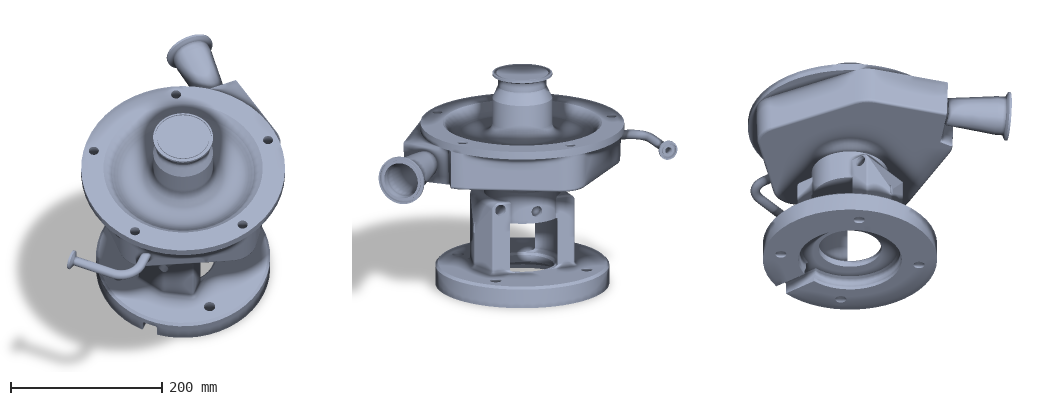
import cadquery as cq
import math

base_top = 29.0
hub_bottom = 97.0
hub_top = 139.0
casing_bottom = 160.5
plate_bottom = 211.5
plate_top = 222.0
inlet_cone_bottom = 256.5
inlet_cone_top = 272.5
inlet_top = 291.0

base_radius = 115.2
base_edge_chamfer = 3.5
base_bore_radius = 41.7
base_bore_chamfer = 3.0
base_bolt_count = 4
base_bolt_first_angle = 45.0
base_bolt_circle = 92.0
base_bolt_radius = 7.5
recess_radius = 66.0
recess_height = 17.8
recess_chamfer = 2.5
recess_cone_height = 8.5
recess_mouth_radius = 68.5
recess_mouth_height = 5.0
notch_width = 20.5
notch_corner = 2.0

hub_radius = 51.0
hub_hole_radius = 7.5
hub_hole_depth = 8.3
hub_hole_z = 112.8
neck_radius = 41.7
neck_flare = 9.0
leg_half_width = 39.2
leg_top = 127.0
leg_shoulder = 58.5
leg_apex = 69.5
leg_bore_radius = 52.0
leg_slope_low = 83.5
leg_slope_run = 12.0
leg_rounding = 3.0
leg_top_rounding = 10.7
apex_rounding = 10.0
foot_fillet = 4.5
drain_hole_diameter = 14.5
drain_hole_z = 84.5
drain_slot_width = 4.0
cross_hole_radius = 7.5
cross_hole_y = 47.5
cross_hole_z = 117.0

casing_sides = 5
casing_pitch = 360 / casing_sides
casing_apothem = 115.0
casing_draft = 1.7
casing_edge_rounding = 3.7
corner_rounding = 34.3
first_corner_angle = 45.0
outlet_facet = first_corner_angle + casing_pitch / 2
block_side_turn = 26.2
block_side_distance = 140.5
block_wall_angle = 72.0
block_wall_distance = 102.0

plate_diameter = 269.7
plate_radius = plate_diameter / 2
plate_bolt_count = casing_sides
plate_bolt_circle = 121.5
plate_bolt_radius = 6.5
plate_bolt_depth = 33.0
dish_depth = 14.5
dish_floor_radius = 83.0
dish_cone_inner = 94.0
dish_cone_outer = 105.5
dish_fillet_rise = 4.0

ferrule_rim = 3.0
ferrule_taper = 3.5
ferrule_height = ferrule_rim + ferrule_taper
groove_inner_part = 0.3
groove_outer_part = 0.7

inlet_radius = 39.5
inlet_neck_radius = 32.2

outlet_angle = 135.0
outlet_z = 186.5
outlet_offset = 91.0
outlet_block_face = 114.5
outlet_face = 199.5
outlet_ferrule_radius = 32.2
outlet_tube_radius = 25.5
outlet_tube_length = 17.5
outlet_small_radius = 18.0
outlet_neck_radius = 16.5
outlet_neck_length = 3.0
outlet_root_depth = 8.3
outlet_bore_radius = 24.0
outlet_bore_depth = 13.2
outlet_bore_middle_radius = 22.5
outlet_bore_middle_depth = 27.3
outlet_bore_root_radius = 15.3

pipe_radius = 6.0
pipe_bore_radius = 4.5
pipe_z = 188.0
pipe_root = 107.5
pipe_bend = 29.0
pipe_run_y = -172.2
pipe_end_x = -89.2
pipe_ferrule_radius = 13.0


def polar(radius, angle):
    """Point at a radius and an angle in degrees."""
    return (radius * math.cos(math.radians(angle)), radius * math.sin(math.radians(angle)))


def cylinder(radius, bottom, top):
    return cq.Workplane("XY").workplane(offset=bottom).circle(radius).extrude(top - bottom)


def revolve_profile(points):
    """Turn an (r, z) outline about the Z axis."""
    return cq.Workplane("XZ").polyline(points).close().revolve(360, (0, 0), (0, 1))


def ferrule(radius, tube_radius):
    """Clamp ferrule facing up with its face at z = 0, with a narrow gasket groove."""
    body = revolve_profile([
        (0, 0), (radius, 0), (radius, -ferrule_rim), (tube_radius, -ferrule_height), (0, -ferrule_height),
    ])
    groove_outer = tube_radius + groove_outer_part * (radius - tube_radius)
    groove_inner = tube_radius + groove_inner_part * (radius - tube_radius)
    groove_depth = ferrule_rim / 2
    groove = cylinder(groove_outer, -groove_depth, 0).cut(cylinder(groove_inner, -groove_depth, 0))
    return body.cut(groove)


def make_base():
    return cylinder(base_radius, 0, base_top).faces(">Z").edges().chamfer(base_edge_chamfer)


def make_base_bolts():
    return (
        cq.Workplane("XY").polarArray(base_bolt_circle, base_bolt_first_angle, 360, base_bolt_count)
        .circle(base_bolt_radius).extrude(base_top)
    )


def make_base_opening():
    opening = revolve_profile([
        (0, 0), (recess_mouth_radius, 0), (recess_mouth_radius, recess_mouth_height),
        (recess_radius, recess_cone_height), (recess_radius, recess_height - recess_chamfer),
        (recess_radius - recess_chamfer, recess_height), (base_bore_radius, recess_height),
        (base_bore_radius, base_top - base_bore_chamfer),
        (base_bore_radius + base_bore_chamfer, base_top), (0, base_top),
    ])
    notch = (
        cq.Workplane("XY").box(notch_width, base_radius, recess_height, centered=(True, False, False))
        .edges("|Y and >Z").chamfer(notch_corner).translate((0, -base_radius, 0))
    )
    return opening.union(notch)


def make_leg():
    """Leg on the +Y side: a peaked plan outline trimmed to its front and side profiles."""
    plan = (
        cq.Workplane("XY").workplane(offset=base_top)
        .moveTo(-leg_half_width, 0).lineTo(leg_half_width, 0)
        .lineTo(leg_half_width, leg_shoulder).lineTo(0, leg_apex)
        .lineTo(-leg_half_width, leg_shoulder).close()
        .extrude(leg_top - base_top)
    )
    plan = plan.edges("|Z and >Y").fillet(apex_rounding)
    for x in (-leg_half_width, leg_half_width):
        shoulder_edge = cq.selectors.NearestToPointSelector((x, leg_shoulder, (base_top + leg_top) / 2))
        plan = plan.edges(shoulder_edge).fillet(leg_rounding)
    front_profile = (
        cq.Workplane("XY").box(2 * leg_half_width, leg_apex, leg_top, centered=(True, False, False))
        .edges("|Y and >Z").fillet(leg_rounding)
    )
    side_profile = (
        cq.Workplane("YZ").moveTo(0, 0).lineTo(leg_apex, 0).lineTo(leg_apex, leg_slope_low)
        .lineTo(leg_apex - leg_slope_run, leg_top).lineTo(0, leg_top).close()
        .extrude(leg_half_width, both=True)
        .faces(">Z").edges(">Y").fillet(leg_top_rounding)
    )
    leg = plan.intersect(front_profile).intersect(side_profile)
    return leg.cut(cylinder(leg_bore_radius, base_top, hub_bottom))


def make_stand():
    """Base flange with both legs blended into it."""
    leg = make_leg()
    stand = make_base().union(leg).union(leg.rotate((0, 0, 0), (0, 0, 1), 180))
    back_foot, front_foot = (
        cq.selectors.BoxSelector(
            (-hub_radius, side * hub_radius / 2, base_top - foot_fillet / 2),
            (hub_radius, side * base_bolt_circle, base_top + foot_fillet / 2),
        )
        for side in (1, -1)
    )
    stand = stand.edges(back_foot + front_foot).fillet(foot_fillet)
    return stand.cut(make_base_bolts())


def make_hub():
    hub = cylinder(hub_radius, hub_bottom, hub_top)
    neck = (
        cq.Workplane("XZ").moveTo(0, hub_top).lineTo(neck_radius, hub_top)
        .lineTo(neck_radius, casing_bottom - neck_flare)
        .radiusArc((neck_radius + neck_flare, casing_bottom), neck_flare)
        .lineTo(0, casing_bottom).close().revolve(360, (0, 0), (0, 1))
    )
    return hub.union(neck)


def line_crossing(first_distance, first_angle, second_distance, second_angle):
    """Crossing of two lines given by their distance from the axis and the angle of their normal."""
    turn = math.radians(second_angle - first_angle)
    along = (second_distance - first_distance * math.cos(turn)) / math.sin(turn)
    x, y = polar(first_distance, first_angle)
    step_x, step_y = polar(along, first_angle + 90)
    return (x + step_x, y + step_y)


def drafted_prism(corners, rounded_corners):
    """Prism hanging from the cover, narrowing downward, with some upright edges rounded."""
    prism = (
        cq.Workplane("XY").workplane(offset=plate_bottom).polyline(corners).close()
        .extrude(casing_bottom - plate_bottom, taper=casing_draft)
    )
    for x, y in rounded_corners:
        middle = (x, y, (plate_bottom + casing_bottom) / 2)
        prism = prism.edges(cq.selectors.NearestToPointSelector(middle)).fillet(corner_rounding)
    return prism


def make_casing():
    """Five-sided casing with rounded corners below the cover."""
    vertex_radius = casing_apothem / math.cos(math.pi / casing_sides)
    corners = [
        polar(vertex_radius, first_corner_angle + casing_pitch * index)
        for index in range(casing_sides)
    ]
    casing = drafted_prism(corners, corners)
    return casing.faces("<Z").edges().fillet(casing_edge_rounding)


def round_bottom(prism, facet):
    """Round the bottom edge of one flat, together with the edges that continue it smoothly."""
    x, y = polar(casing_apothem, facet)
    edge = cq.selectors.NearestToPointSelector((x, y, casing_bottom))
    return prism.faces("<Z").edges(edge).fillet(casing_edge_rounding)


def make_outlet_block():
    """Block that widens the casing toward the outlet, with a stub corner left of the outlet face."""
    right_facet = outlet_facet - casing_pitch
    left_facet = outlet_facet + casing_pitch
    right_side = outlet_facet - block_side_turn
    left_side = outlet_facet + block_side_turn
    wall_foot = line_crossing(outlet_block_face, outlet_angle, block_wall_distance, block_wall_angle)

    right_shoulder = line_crossing(casing_apothem, right_facet, block_side_distance, right_side)
    peak = line_crossing(block_side_distance, right_side, outlet_block_face, outlet_angle)
    right_foot = polar(casing_apothem, right_facet)
    block = drafted_prism([(0, 0), right_foot, right_shoulder, peak, wall_foot], [right_shoulder])
    block = round_bottom(block, right_facet)

    left_tangent = polar(block_side_distance, left_side)
    left_shoulder = line_crossing(block_side_distance, left_side, casing_apothem, left_facet)
    left_foot = polar(casing_apothem, left_facet)
    stub = drafted_prism([(0, 0), left_tangent, left_shoulder, left_foot], [left_shoulder])
    stub = round_bottom(stub, left_facet)
    beyond_wall = (
        cq.Workplane("XY")
        .box(plate_radius, plate_diameter, plate_top, centered=(False, True, False))
        .translate((block_wall_distance, 0, 0))
        .rotate((0, 0, 0), (0, 0, 1), block_wall_angle)
    )
    return block.union(stub.cut(beyond_wall))


def make_cover():
    return cylinder(plate_radius, plate_bottom, plate_top)


def make_dish():
    """Ring-shaped hollow around the inlet, with a flare at the inlet and a conical rim."""
    floor = plate_top - dish_depth
    cone_bottom = floor + dish_fillet_rise
    run = dish_cone_inner - dish_floor_radius
    fillet_radius = (run ** 2 + dish_fillet_rise ** 2) / (2 * dish_fillet_rise)
    return (
        cq.Workplane("XZ").moveTo(inlet_radius, plate_top)
        .radiusArc((inlet_radius + dish_depth, floor), -dish_depth)
        .lineTo(dish_floor_radius, floor)
        .radiusArc((dish_cone_inner, cone_bottom), -fillet_radius)
        .lineTo(dish_cone_outer, plate_top).close()
        .revolve(360, (0, 0), (0, 1))
    )


def make_cover_bolts():
    return (
        cq.Workplane("XY").workplane(offset=plate_top - plate_bolt_depth)
        .polarArray(plate_bolt_circle, first_corner_angle, 360, plate_bolt_count)
        .circle(plate_bolt_radius).extrude(plate_bolt_depth)
    )


def make_inlet():
    tube = revolve_profile([
        (0, plate_bottom), (inlet_radius, plate_bottom), (inlet_radius, inlet_cone_bottom),
        (inlet_neck_radius, inlet_cone_top), (inlet_neck_radius, inlet_top - ferrule_height),
        (0, inlet_top - ferrule_height),
    ])
    return tube.union(ferrule(inlet_radius, inlet_neck_radius).translate((0, 0, inlet_top)))


def place_outlet(shape):
    """Move a shape standing on the XY plane onto the outlet axis; height becomes reach."""
    shape = shape.rotate((0, 0, 0), (0, 1, 0), 90).translate((0, -outlet_offset, outlet_z))
    return shape.rotate((0, 0, 0), (0, 0, 1), outlet_angle)


def make_outlet():
    cone_end = outlet_face - outlet_tube_length
    cone_start = outlet_block_face + outlet_neck_length
    root = outlet_block_face - outlet_root_depth
    nozzle = revolve_profile([
        (0, root), (outlet_neck_radius, root), (outlet_neck_radius, cone_start),
        (outlet_small_radius, cone_start), (outlet_tube_radius, cone_end),
        (outlet_tube_radius, outlet_face - ferrule_height), (0, outlet_face - ferrule_height),
    ])
    rim = ferrule(outlet_ferrule_radius, outlet_tube_radius)
    return place_outlet(nozzle.union(rim.translate((0, 0, outlet_face))))


def make_outlet_bore():
    return place_outlet(revolve_profile([
        (0, outlet_block_face), (outlet_bore_root_radius, outlet_block_face),
        (outlet_bore_middle_radius, outlet_face - outlet_bore_middle_depth),
        (outlet_bore_radius, outlet_face - outlet_bore_depth),
        (outlet_bore_radius, outlet_face), (0, outlet_face),
    ]))


def pipe_solid(radius):
    path = (
        cq.Workplane("XY").workplane(offset=pipe_z).moveTo(0, -pipe_root)
        .lineTo(0, pipe_run_y + pipe_bend)
        .radiusArc((-pipe_bend, pipe_run_y), pipe_bend)
        .lineTo(pipe_end_x, pipe_run_y)
    )
    start = cq.Workplane("XZ", origin=(0, -pipe_root, pipe_z))
    return start.circle(radius).sweep(path)


def make_drain_pipe():
    rim = ferrule(pipe_ferrule_radius, pipe_radius)
    rim = rim.rotate((0, 0, 0), (0, 1, 0), -90).translate((pipe_end_x, pipe_run_y, pipe_z))
    return pipe_solid(pipe_radius).union(rim)


def make_drain_hole():
    """Round hole through the -Y leg, opposite a narrow slot through the +Y leg."""
    hole = (
        cq.Workplane("XZ", origin=(0, 0, drain_hole_z)).circle(drain_hole_diameter / 2).extrude(base_radius)
    )
    slot = (
        cq.Workplane("XY")
        .box(drain_slot_width, base_radius, drain_hole_diameter, centered=(True, False, True))
        .translate((0, 0, drain_hole_z))
    )
    return hole.union(slot)


def make_cross_hole():
    """Hole along X through the top of the +Y leg."""
    return (
        cq.Workplane("YZ").center(cross_hole_y, cross_hole_z).circle(cross_hole_radius)
        .extrude(base_radius, both=True)
    )


def make_hub_hole():
    """Blind hole in the -X side of the hub."""
    return (
        cq.Workplane("YZ", origin=(-hub_radius, 0, hub_hole_z))
        .circle(hub_hole_radius).extrude(hub_hole_depth)
    )


result = make_stand().union(make_hub()).cut(make_base_opening())
result = result.cut(make_drain_hole()).cut(make_cross_hole()).cut(make_hub_hole())
result = result.union(make_casing()).union(make_outlet_block()).union(make_cover())
result = result.union(make_inlet()).cut(make_dish()).cut(make_cover_bolts())
result = result.union(make_outlet()).cut(make_outlet_bore())
result = result.union(make_drain_pipe()).cut(pipe_solid(pipe_bore_radius))